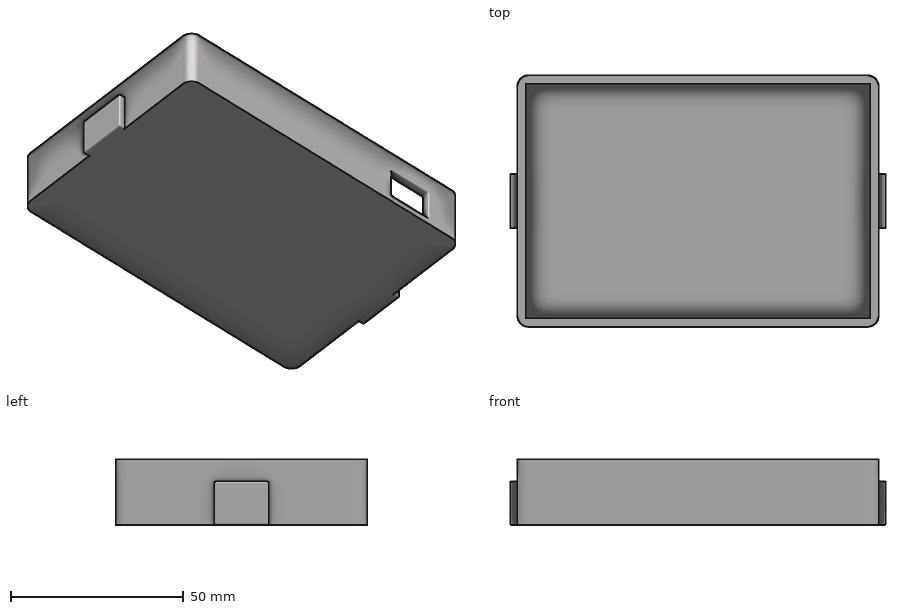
import cadquery as cq

tray_length = 105.0
tray_width = 73.1
tray_height = 19.1
corner_radius = 3.4
wall = 2.5
floor = 2.5

overall_length = 109.1
tab_width = 15.8
tab_height = 12.7
edge_rounding = 0.5
tab_reach = (overall_length - tray_length) / 2

window_length = 14.3
window_height = 10.0
window_from_end_wall = 9.8


def make_tray():
    """Open box with rounded outer corners and a square-cornered cavity."""
    body = cq.Workplane("XY").box(tray_length, tray_width, tray_height, centered=(True, True, False))
    body = body.edges("|Z").fillet(corner_radius)
    cavity = (
        cq.Workplane("XY", origin=(0, 0, floor))
        .rect(tray_length - 2 * wall, tray_width - 2 * wall)
        .extrude(tray_height - floor)
    )
    return body.cut(cavity)


def make_tab(side):
    """Pad rounded on every exposed edge, on the end wall at side = -1 or +1."""
    block_length = tab_reach + wall / 2
    center_x = side * (overall_length - block_length) / 2
    block = (
        cq.Workplane("XY", origin=(center_x, 0, 0))
        .box(block_length, tab_width, tab_height, centered=(True, True, False))
    )
    outer_face = ">X" if side > 0 else "<X"
    return block.edges(f"|X or {outer_face}").fillet(edge_rounding)


def cut_window(tray):
    """Cut the rectangular window and round its corners and outer rim."""
    start_x = -tray_length / 2 + wall + window_from_end_wall
    opening = (
        cq.Workplane("XY", origin=(start_x, tray_width / 2 - wall, floor))
        .box(window_length, wall, window_height, centered=False)
        .edges("|Y")
        .fillet(edge_rounding)
    )
    tray = tray.cut(opening)
    rim = tray.faces(">Y").val().innerWires()[0].Edges()
    return tray.newObject(rim).fillet(edge_rounding)


result = cut_window(make_tray())
for side in (-1, 1):
    result = result.union(make_tab(side))